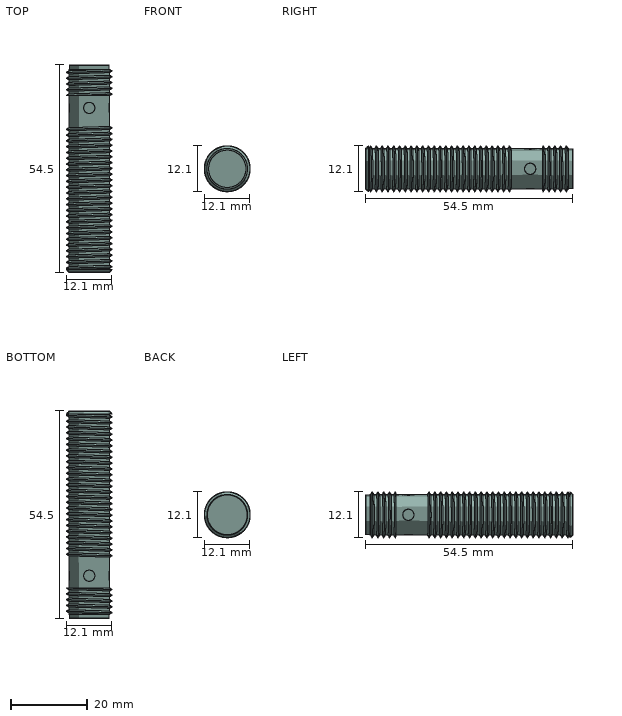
import cadquery as cq

LENGTH = 54.5
ROOT_RADIUS = 5.35

NOSE_RADIUS = 6.0
NOSE_LENGTH = 0.7

FACE_RADIUS = 4.9
FACE_DEPTH = 1.1
PLUG_RADIUS = 5.25
PLUG_LENGTH = 1.1
HOUSING_END = LENGTH - PLUG_LENGTH

CREST_RADIUS = 6.05
RIDGE_BASE_WIDTH = 0.8
RIDGE_TILT = 1.9
TRIM_RADIUS = 1.1 * CREST_RADIUS
RIDGE_EMBED = 0.2
FRONT_RIDGE_START = 1.3
FRONT_RIDGE_COUNT = 25
FRONT_RIDGE_SPAN = 36.5
RIDGE_PITCH = FRONT_RIDGE_SPAN / (FRONT_RIDGE_COUNT - 1)
REAR_RIDGE_START = 46.7
REAR_RIDGE_COUNT = 5

BAND_START = 38.55
BAND_END = 46.55

WINDOW_RADIUS = 1.45
WINDOW_DEPTH = 1.1
WINDOW_Y = 43.3
WINDOW_COUNT = 4


def cylinder(radius, y_start, y_end):
    """Round bar on the Y axis."""
    return cq.Workplane("XZ", origin=(0, y_start, 0)).circle(radius).extrude(y_start - y_end)


def make_ridge(y_centre):
    """Triangular ring around the Y axis, tilted about Z through its own centre."""
    slope = 0.5 * RIDGE_BASE_WIDTH / (CREST_RADIUS - ROOT_RADIUS)
    inner_radius = ROOT_RADIUS - RIDGE_EMBED
    inner_half_width = slope * (CREST_RADIUS - inner_radius)
    ring = (
        cq.Workplane("XY")
        .moveTo(inner_radius, -inner_half_width)
        .lineTo(CREST_RADIUS, 0)
        .lineTo(inner_radius, inner_half_width)
        .close()
        .revolve(360, (0, 0, 0), (0, 1, 0))
    )
    return ring.rotate((0, 0, 0), (0, 0, 1), RIDGE_TILT).translate((0, y_centre, 0))


def make_thread(first_ridge, ridge_count, y_start, y_end):
    """Threaded length of the barrel, trimmed square at both ends."""
    thread = cylinder(ROOT_RADIUS, y_start, y_end)
    for index in range(ridge_count):
        thread = thread.union(make_ridge(first_ridge + index * RIDGE_PITCH))
    return thread.intersect(cylinder(TRIM_RADIUS, y_start, y_end))


def make_nose():
    """Collar tapering from full thread size down to the root size at the sensing end."""
    return (
        cq.Workplane("XY")
        .moveTo(0, 0)
        .lineTo(ROOT_RADIUS, 0)
        .lineTo(NOSE_RADIUS, NOSE_LENGTH)
        .lineTo(0, NOSE_LENGTH)
        .close()
        .revolve(360, (0, 0, 0), (0, 1, 0))
    )


def make_window(index):
    """Flush plug with its outer end curved like the barrel."""
    plug = (
        cq.Workplane("XY", origin=(0, WINDOW_Y, ROOT_RADIUS - WINDOW_DEPTH))
        .circle(WINDOW_RADIUS)
        .extrude(2 * WINDOW_DEPTH)
        .intersect(cylinder(ROOT_RADIUS, BAND_START, BAND_END))
    )
    return plug.rotate((0, 0, 0), (0, 1, 0), index * 360 / WINDOW_COUNT)


def make_housing(inserts):
    """Barrel with a recess for each insert."""
    housing = (
        make_nose()
        .union(make_thread(FRONT_RIDGE_START, FRONT_RIDGE_COUNT, NOSE_LENGTH, BAND_START))
        .union(cylinder(ROOT_RADIUS, BAND_START, BAND_END))
        .union(make_thread(REAR_RIDGE_START, REAR_RIDGE_COUNT, BAND_END, HOUSING_END))
    )
    for insert in inserts:
        housing = housing.cut(insert)
    return housing


sensing_face = cylinder(FACE_RADIUS, 0, FACE_DEPTH)
rear_plug = cylinder(PLUG_RADIUS, HOUSING_END, LENGTH)
windows = [make_window(index) for index in range(WINDOW_COUNT)]
housing = make_housing([sensing_face, *windows])

result = cq.Compound.makeCompound(
    [housing.val(), sensing_face.val(), rear_plug.val(), *[window.val() for window in windows]]
)